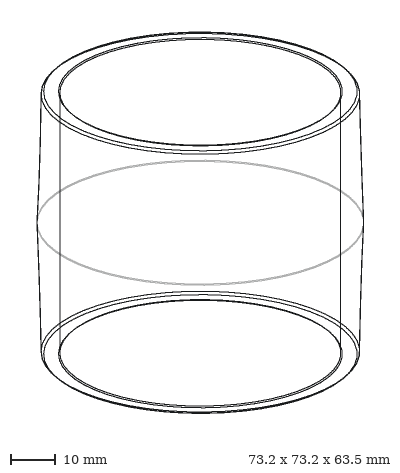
import cadquery as cq

outer_diameter = 73.15
height = 63.5
end_diameter = 71.3
bore_diameter = 62.9
outer_edge_chamfer = 0.6
bore_edge_chamfer = 0.3
middle_band_width = 0.3

outer_radius = outer_diameter / 2
end_radius = end_diameter / 2
bore_radius = bore_diameter / 2
half_height = height / 2
half_band = middle_band_width / 2
shoulder_z = half_height - outer_edge_chamfer


def tapered_sleeve():
    """Revolve the wall section: a straight bore inside two tapers.

    The tapers widen from the ends to a narrow straight band at mid height.
    """
    section = (
        cq.Workplane("XZ")
        .moveTo(bore_radius, -half_height + bore_edge_chamfer)
        .lineTo(bore_radius + bore_edge_chamfer, -half_height)
        .lineTo(end_radius - outer_edge_chamfer, -half_height)
        .lineTo(end_radius, -shoulder_z)
        .lineTo(outer_radius, -half_band)
        .lineTo(outer_radius, half_band)
        .lineTo(end_radius, shoulder_z)
        .lineTo(end_radius - outer_edge_chamfer, half_height)
        .lineTo(bore_radius + bore_edge_chamfer, half_height)
        .lineTo(bore_radius, half_height - bore_edge_chamfer)
        .close()
    )
    return section.revolve(360, (0, 0, 0), (0, 1, 0))


result = tapered_sleeve()